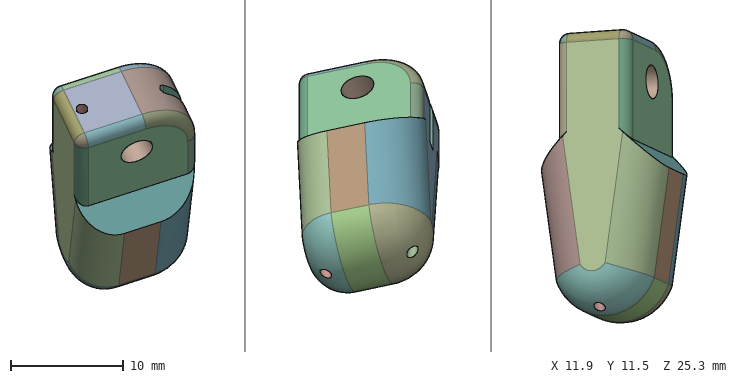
import cadquery as cq
import math

height = 25.32
depth = 11.5
body_width = 11.93

shoulder_z = 13.01
tip_corner_x = 4.55
tip_corner_z = 3.15
front_round = 3.47
back_round = 4.53

block_width = 7.0
block_foot_z = 15.32
block_back_radius = 5.0
block_round = 1.0

pin_diameter = 3.01
pin_y = -0.13
pin_z = 21.32
cord_diameter = 1.01
cord_y = 4.0
slot_floor_z = block_foot_z

half_depth = depth / 2
shoulder_x = body_width / 2
block_x = block_width / 2
shoulder_slope = (block_foot_z - shoulder_z) / (shoulder_x - block_x)
apex_z = shoulder_z + shoulder_slope * shoulder_x
taper_run = (shoulder_x - tip_corner_x) / (shoulder_z - tip_corner_z)


def below_shoulders():
    """Prism under the two shoulder planes, which meet in a ridge on X = 0."""
    reach = 2 * shoulder_x
    edge_z = apex_z - shoulder_slope * reach
    return (
        cq.Workplane("XZ")
        .moveTo(-reach, edge_z)
        .lineTo(0, apex_z)
        .lineTo(reach, edge_z)
        .lineTo(reach, -height)
        .lineTo(-reach, -height)
        .close()
        .extrude(depth, both=True)
    )


def tapered_body():
    """Tapered, round-tipped body with rounded Y edges, trimmed by the shoulders."""
    top_x = tip_corner_x + taper_run * (apex_z - tip_corner_z)
    body = (
        cq.Workplane("XZ")
        .moveTo(-top_x, apex_z)
        .lineTo(-tip_corner_x, tip_corner_z)
        .threePointArc((0, 0), (tip_corner_x, tip_corner_z))
        .lineTo(top_x, apex_z)
        .close()
        .extrude(half_depth, both=True)
    )
    body = body.faces("<Y").edges("not >Z").fillet(front_round)
    body = body.faces(">Y").edges("not >Z").fillet(back_round)
    return body.intersect(below_shoulders())


def upright_block():
    """Block with a large top back curve and rounded edges, seated on the shoulders."""
    foot_z = shoulder_z
    arc_center_y = half_depth - block_back_radius
    arc_center_z = height - block_back_radius
    arc_reach = block_back_radius * math.sqrt(0.5)
    block = (
        cq.Workplane("YZ")
        .moveTo(-half_depth, foot_z)
        .lineTo(half_depth, foot_z)
        .lineTo(half_depth, arc_center_z)
        .threePointArc((arc_center_y + arc_reach, arc_center_z + arc_reach), (arc_center_y, height))
        .lineTo(-half_depth, height)
        .close()
        .extrude(block_x, both=True)
    )
    top_front_edge = cq.selectors.NearestToPointSelector((0, -half_depth, height))
    side_edges = block.faces("<X or >X").edges("not <Z")
    block = side_edges.add(block.edges(top_front_edge)).fillet(block_round)
    return block.cut(below_shoulders())


def pin_hole():
    """Cross hole along X through the block."""
    return (
        cq.Workplane("YZ")
        .center(pin_y, pin_z)
        .circle(pin_diameter / 2)
        .extrude(body_width, both=True)
    )


def cord_holes():
    """Two vertical through holes, one near each Y face."""
    return (
        cq.Workplane("XY")
        .pushPoints([(0, -cord_y), (0, cord_y)])
        .circle(cord_diameter / 2)
        .extrude(height)
    )


def cord_slot():
    """Slot opening the upper part of the back cord hole to the +Y face."""
    return cq.Workplane("XY").box(
        cord_diameter, half_depth - cord_y, height - slot_floor_z, centered=(True, False, False)
    ).translate((0, cord_y, slot_floor_z))


result = tapered_body().union(upright_block())
result = result.cut(pin_hole()).cut(cord_holes()).cut(cord_slot())